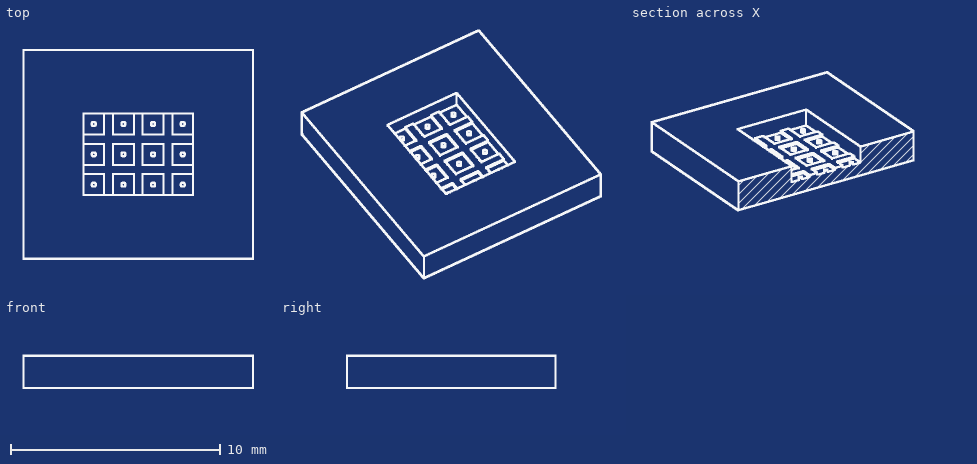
import cadquery as cq

block_length = 11
block_width = 10.0
block_height = 1.56

columns = 4
rows = 3
pad_side = 1.0
column_pitch = 1.42
row_pitch = 1.45
pad_depth = 0.1

pocket_length = (columns - 1) * column_pitch + pad_side
pocket_width = (rows - 1) * row_pitch + pad_side
pocket_depth = 0.75

pin_diameter = 0.2
pin_height = 0.1

pocket_floor = block_height - pocket_depth
pad_floor = pocket_floor - pad_depth


def pad_centres(level):
    """Centres of the pads on a horizontal plane at the given height."""
    return cq.Workplane("XY", origin=(0, 0, level)).rarray(column_pitch, row_pitch, columns, rows)


block = cq.Workplane("XY").box(block_length, block_width, block_height, centered=(True, True, False))

pocket = (
    cq.Workplane("XY", origin=(0, 0, pocket_floor))
    .rect(pocket_length, pocket_width)
    .extrude(pocket_depth)
)

pads = pad_centres(pad_floor).rect(pad_side, pad_side).extrude(pad_depth)
pins = pad_centres(pad_floor).circle(pin_diameter / 2).extrude(pin_height)

result = block.cut(pocket).cut(pads).union(pins)